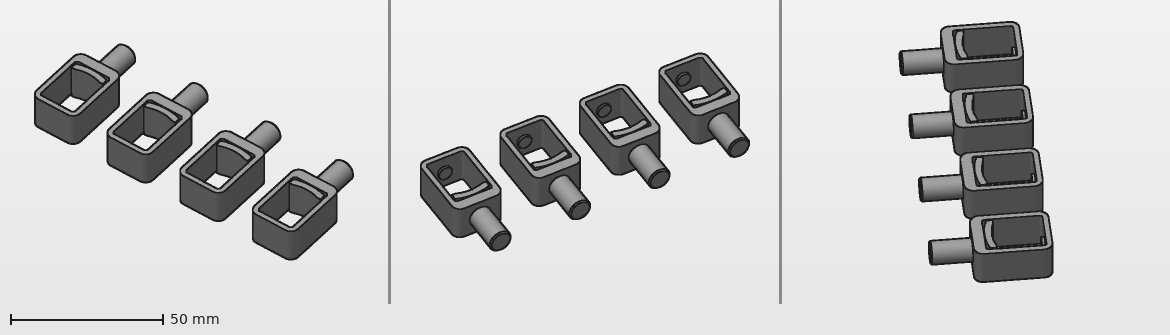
import cadquery as cq

CLAMP_COUNT = 4
ROW_LENGTH = 108.0

FRAME_WIDTH = 18.0
FRAME_DEPTH = 26.0
FRAME_HEIGHT = 13.0
FRAME_CORNER_RADIUS = 3.0
WINDOW_WIDTH = 14.0
WINDOW_CORNER_RADIUS = 1.0
STUD_WALL = 4.0
SIDE_WALL = (FRAME_WIDTH - WINDOW_WIDTH) / 2
FRONT_WALL = SIDE_WALL

PAD_DIAMETER = 5.0
PAD_HEIGHT = 1.0

TOTAL_DEPTH = 40.0
STUD_DIAMETER = 8.0
STUD_CHAMFER = 0.5

PLATE_WIDTH = 13.0
PLATE_HEIGHT = FRAME_HEIGHT
PLATE_THICKNESS = 2.4
PLATE_CROWN_RISE = 1.1
PLATE_HOLLOW_RISE = 1.0
PLATE_FOOT_WIDTH = 1.3
PLATE_GAP = 0.2

WINDOW_BACK = FRAME_DEPTH - STUD_WALL
STUD_AXIS_Z = FRAME_HEIGHT / 2
CLAMP_PITCH = (ROW_LENGTH - FRAME_WIDTH) / (CLAMP_COUNT - 1)


def cylinder_along_y(diameter, start, end):
    """Cylinder on the stud axis between two Y positions."""
    plane = cq.Workplane("XZ", origin=(0, start, STUD_AXIS_Z))
    return plane.circle(diameter / 2).extrude(start - end)


def rounded_block(width, front, back, corner_radius):
    """Full-height block with rounded vertical edges between two Y positions."""
    block = cq.Workplane("XY").box(width, back - front, FRAME_HEIGHT, centered=(True, False, False))
    return block.edges("|Z").fillet(corner_radius).translate((0, front, 0))


def make_frame():
    """Rectangular ring with a chamfered stud outside and a round pad inside."""
    outer = rounded_block(FRAME_WIDTH, 0, FRAME_DEPTH, FRAME_CORNER_RADIUS)
    window = rounded_block(WINDOW_WIDTH, FRONT_WALL, WINDOW_BACK, WINDOW_CORNER_RADIUS)
    pad = cylinder_along_y(PAD_DIAMETER, FRONT_WALL, FRONT_WALL + PAD_HEIGHT)
    stud = cylinder_along_y(STUD_DIAMETER, FRAME_DEPTH, TOTAL_DEPTH)
    stud = stud.faces(">Y").chamfer(STUD_CHAMFER)
    return outer.cut(window).union(pad).union(stud)


def make_plate():
    """Arched plate whose hollow underside ends in a narrow flat foot on each side."""
    half_width = PLATE_WIDTH / 2
    hollow_half_width = half_width - PLATE_FOOT_WIDTH
    crown = WINDOW_BACK - PLATE_GAP
    shoulder = crown - PLATE_CROWN_RISE
    hollow_top = crown - PLATE_THICKNESS
    foot = hollow_top - PLATE_HOLLOW_RISE
    return (
        cq.Workplane("XY")
        .moveTo(-half_width, shoulder)
        .threePointArc((0, crown), (half_width, shoulder))
        .lineTo(half_width, foot)
        .lineTo(hollow_half_width, foot)
        .threePointArc((0, hollow_top), (-hollow_half_width, foot))
        .lineTo(-half_width, foot)
        .close()
        .extrude(PLATE_HEIGHT)
    )


frame = make_frame()
plate = make_plate()

bodies = []
for index in range(CLAMP_COUNT):
    place = (index * CLAMP_PITCH, 0, 0)
    bodies.append(frame.translate(place).val())
    bodies.append(plate.translate(place).val())

result = cq.Compound.makeCompound(bodies)